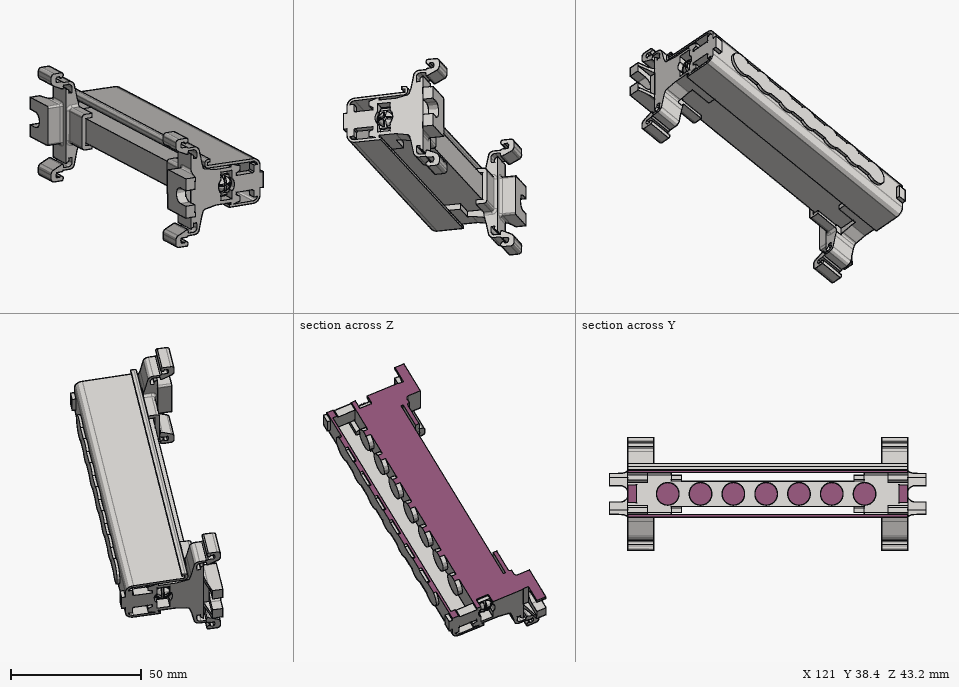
import cadquery as cq


LENGTH = 121.0
HEIGHT = 43.2
COVER_LENGTH = 107.0
COVER_END = COVER_LENGTH / 2

MARGIN = 0.1

CLAW_WIDTH = 10.0
PLATE_FRONT = 6.5
PLATE_BACK = 12.0
HOOK_TOP = HEIGHT / 2

WEB_THICKNESS = 7.5
WEB_HALF_HEIGHT = 7.1
WEB_ROOT_HALF_HEIGHT = 8.7
WEB_BACK = 28.1
RIDGE_FRONT = 24.1
RIDGE_BACK = 25.2
RIDGE_HALF_HEIGHT = 8.0

TAIL_THICKNESS = 3.4
TAIL_START = 26.5
TAIL_CORNER = 0.5
TAIL_HALF_HEIGHT = 3.4
TAB_HALF_HEIGHT = 3.1
TAB_BACK = 38.4
FLANGE_FRONT = 34.1
FLANGE_HALF_HEIGHT = 6.4

CAP_END = 36.8
CAP_FRONT = 19.4

COVER_BACK = 36.9
WALL = 1.1
COVER_TOP = 9.0
COVER_TOP_FRONT = 9.3
COVER_CORNER = 3.1
COVER_LIP_FRONT = 12.7
COVER_LOWER_FRONT = 23.4
LIP_TOP = 11.6
LIP_BACK = 15.0
LIP_BEND = 1.5

BAR_FRONT = 10.0
BAR_HEIGHT = 9.8
BAR_END = 49.6

TERMINAL_COUNT = 7
TERMINAL_ROW_LENGTH = 75.1
TERMINAL_SHIFT = 0.6
BOSS_RADIUS = 4.4
BOSS_BACK = 28.4
COLLAR_RADIUS = 5.0
COLLAR_BACK = 38.0
COLLAR_BRIDGE_HALF_HEIGHT = 3.6

HOOD_END = 32.9
HOOD_FRONT = 7.6
HOOD_HALF_HEIGHT = 7.1
HOOD_WALL = 1.7
HOOD_CORNER = 1.2
HOOD_ROOT_FILLET = 1.0

FOOT_FRONT = 0.4
FOOT_TIP_BACK = 4.5
FOOT_FLOOR = 4.4
FOOT_RECESS_HALF_HEIGHT = 6.2
FOOT_CORNER = 0.7
FOOT_INNER = 46.3
FOOT_HALF_HEIGHT = 7.9
FOOT_SLOT_WIDTH = 6.2
FOOT_SLOT_RADIUS = FOOT_SLOT_WIDTH / 2
FOOT_SLOT_END = 53.2
FOOT_ROOT_FILLET = 1.1

SCREW_Y = 22.1
SCREW_HOLE_RADIUS = 3.5
SCREW_RADIUS = 3.3
SCREW_HEAD_DEPTH = 0.7
SCREW_DOME_RADIUS = 2.8
CROSS_SPAN_Y = 4.8
CROSS_SPAN_Z = 6.3
CROSS_WIDTH = 1.0
CROSS_DEPTH = 1.9
POCKET_WIDTH = 5.0
POCKET_HALF_HEIGHT = 5.7
POCKET_DEPTH = 4.8
POCKET_BLOCK_HALF_HEIGHT = 3.5
POCKET_BLOCK_DEPTH = 2.4


def box(x_range, y_range, z_range):
    """Box spanning the given (low, high) ranges."""
    sizes = [high - low for low, high in (x_range, y_range, z_range)]
    lows = (x_range[0], y_range[0], z_range[0])
    return cq.Workplane("XY").box(*sizes, centered=False).translate(lows)


def cylinder_along_y(x, radius, y_range):
    """Cylinder centred on height 0 with its axis along Y."""
    plane = cq.Workplane("XZ", origin=(x, y_range[0], 0))
    return plane.circle(radius).extrude(y_range[0] - y_range[1])


def section(x):
    """Sketch plane across the strip; its axes are Y and Z."""
    return cq.Workplane("YZ", origin=(x, 0, 0))


def both_halves(upper):
    """Add the mirror image below the middle plane."""
    return upper.union(upper.mirror("XY"))


def make_claw_plate():
    """Plate with a sprung rail hook at the top and bottom."""
    upper = (
        section(-COVER_END)
        .moveTo(PLATE_FRONT, 0)
        .lineTo(PLATE_FRONT, 15.1)
        .lineTo(7.7, 14.2)
        .lineTo(7.7, 13.0)
        .lineTo(9.1, 13.0)
        .lineTo(9.2, 14.9)
        .threePointArc((8.7, 16.0), (7.6, 16.5))
        .lineTo(5.6, 16.5)
        .lineTo(5.2, 15.0)
        .lineTo(4.6, 15.1)
        .lineTo(1.0, 16.8)
        .threePointArc((0.2, 17.5), (0, 18.6))
        .lineTo(0, 20.3)
        .threePointArc((0.4, 21.2), (1.3, HOOK_TOP))
        .lineTo(4.7, HOOK_TOP)
        .threePointArc((5.3, 20.8), (5.1, 20.0))
        .lineTo(4.2, 19.4)
        .lineTo(3.8, 20.1)
        .lineTo(2.7, 20.1)
        .threePointArc((2.2, 19.1), (2.5, 18.0))
        .lineTo(4.7, 18.0)
        .lineTo(5.5, 17.5)
        .lineTo(8.1, 17.5)
        .threePointArc((9.4, 17.1), (10.2, 16.1))
        .lineTo(11.4, 10.5)
        .lineTo(PLATE_BACK, WEB_ROOT_HALF_HEIGHT)
        .lineTo(PLATE_BACK, 0)
        .close()
        .extrude(CLAW_WIDTH)
    )
    return both_halves(upper)


def make_web():
    """Outer end face, curving from the claw plate back to the notches at the rear."""
    upper = (
        section(-COVER_END)
        .moveTo(PLATE_BACK, 0)
        .lineTo(PLATE_BACK, WEB_ROOT_HALF_HEIGHT)
        .threePointArc((12.3, 8.2), (13.1, 8.0))
        .lineTo(17.4, WEB_HALF_HEIGHT)
        .lineTo(RIDGE_FRONT, WEB_HALF_HEIGHT)
        .lineTo(RIDGE_FRONT, RIDGE_HALF_HEIGHT)
        .lineTo(RIDGE_BACK, RIDGE_HALF_HEIGHT)
        .lineTo(26.7, 7.4)
        .lineTo(WEB_BACK, WEB_HALF_HEIGHT)
        .lineTo(WEB_BACK, 5.2)
        .lineTo(TAIL_START, 4.4)
        .lineTo(TAIL_START, 0)
        .close()
        .extrude(WEB_THICKNESS)
    )
    return both_halves(upper)


def make_tail():
    """Stem with a flange inside the cover wall and a tab through it."""
    upper = (
        section(-COVER_END)
        .moveTo(TAIL_START, 0)
        .lineTo(TAIL_START, TAIL_HALF_HEIGHT)
        .lineTo(FLANGE_FRONT - TAIL_CORNER, TAIL_HALF_HEIGHT)
        .lineTo(FLANGE_FRONT, TAIL_HALF_HEIGHT + TAIL_CORNER)
        .lineTo(FLANGE_FRONT, FLANGE_HALF_HEIGHT)
        .lineTo(COVER_BACK - WALL, FLANGE_HALF_HEIGHT)
        .lineTo(COVER_BACK - WALL, TAB_HALF_HEIGHT)
        .lineTo(TAB_BACK, TAB_HALF_HEIGHT)
        .lineTo(TAB_BACK, 0)
        .close()
        .extrude(TAIL_THICKNESS)
    )
    return both_halves(upper)


def make_inner_cap():
    """Block behind the web, with snap ridges touching the cover."""
    x_range = (-COVER_END + WEB_THICKNESS, -CAP_END)
    block = box(x_range, (CAP_FRONT, TAIL_START), (-WEB_HALF_HEIGHT, WEB_HALF_HEIGHT))
    ridge = box(x_range, (RIDGE_FRONT, RIDGE_BACK), (-RIDGE_HALF_HEIGHT, RIDGE_HALF_HEIGHT))
    return block.union(ridge)


def make_hood():
    """Hood as a solid block; its hollow is removed after the root is filleted."""
    x_range = (-COVER_END + CLAW_WIDTH, -HOOD_END)
    outer = box(x_range, (HOOD_FRONT, PLATE_BACK), (-HOOD_HALF_HEIGHT, HOOD_HALF_HEIGHT))
    return outer.edges("|X and <Y").fillet(HOOD_CORNER)


def hood_hollow():
    """Space inside the hood, open towards the bar."""
    inner_half = HOOD_HALF_HEIGHT - HOOD_WALL
    x_range = (-COVER_END + CLAW_WIDTH, -HOOD_END)
    return box(x_range, (HOOD_FRONT + HOOD_WALL, PLATE_BACK), (-inner_half, inner_half))


def make_foot():
    """Solid pad with a tapered underside; its recess and slot are removed later."""
    pad = (
        cq.Workplane("XY", origin=(0, 0, -FOOT_HALF_HEIGHT))
        .moveTo(-LENGTH / 2, FOOT_FRONT)
        .lineTo(-FOOT_INNER, FOOT_FRONT)
        .lineTo(-FOOT_INNER, PLATE_FRONT)
        .lineTo(-COVER_END, PLATE_FRONT)
        .lineTo(-LENGTH / 2, FOOT_TIP_BACK)
        .close()
        .extrude(2 * FOOT_HALF_HEIGHT)
    )
    return pad.edges("|Y and >X").fillet(FOOT_CORNER)


def foot_cutouts():
    """Recess between the tapered side ribs, and the round-ended screw slot through its floor."""
    recess = box(
        (-LENGTH / 2, -FOOT_SLOT_END),
        (FOOT_FLOOR, PLATE_FRONT),
        (-FOOT_RECESS_HALF_HEIGHT, FOOT_RECESS_HALF_HEIGHT),
    )
    slot_centre = -FOOT_SLOT_END - FOOT_SLOT_RADIUS
    slot = box(
        (-LENGTH / 2, slot_centre),
        (FOOT_FRONT, FOOT_FLOOR),
        (-FOOT_SLOT_RADIUS, FOOT_SLOT_RADIUS),
    )
    slot_end = cylinder_along_y(slot_centre, FOOT_SLOT_RADIUS, (FOOT_FRONT, FOOT_FLOOR))
    return recess.union(slot).union(slot_end)


def screw_pocket():
    """Material removed from the outer end face around the screw."""
    plane = section(-COVER_END).center(SCREW_Y, 0)
    pocket = plane.rect(POCKET_WIDTH, 2 * POCKET_HALF_HEIGHT).extrude(POCKET_DEPTH)
    block = (
        section(-COVER_END + POCKET_BLOCK_DEPTH)
        .center(SCREW_Y, 0)
        .rect(POCKET_WIDTH, 2 * POCKET_BLOCK_HALF_HEIGHT)
        .extrude(POCKET_DEPTH - POCKET_BLOCK_DEPTH)
    )
    hole = plane.circle(SCREW_HOLE_RADIUS).extrude(POCKET_BLOCK_DEPTH)
    return pocket.cut(block).union(hole)


def make_screw():
    """Domed screw head with a cross slot."""
    top = -COVER_END + SCREW_HEAD_DEPTH
    root = -COVER_END + POCKET_DEPTH
    head = section(top).center(SCREW_Y, 0).circle(SCREW_RADIUS).extrude(root - top)
    head = head.faces("<X").edges().fillet(SCREW_DOME_RADIUS)
    plane = section(top).center(SCREW_Y, 0)
    cross = plane.rect(CROSS_SPAN_Y, CROSS_WIDTH).extrude(CROSS_DEPTH)
    cross = cross.union(plane.rect(CROSS_WIDTH, CROSS_SPAN_Z).extrude(CROSS_DEPTH))
    return head.cut(cross)


def make_end():
    """Complete bracket at the -X end."""
    bracket = make_claw_plate().union(make_hood()).union(make_foot())
    inner_face = -COVER_END + CLAW_WIDTH
    hood_root = cq.selectors.BoxSelector(
        (inner_face - MARGIN, HOOD_FRONT - MARGIN, -HOOD_HALF_HEIGHT - MARGIN),
        (inner_face + MARGIN, PLATE_BACK - MARGIN, HOOD_HALF_HEIGHT + MARGIN),
    )
    bracket = bracket.edges(hood_root).fillet(HOOD_ROOT_FILLET)
    bracket = bracket.cut(hood_hollow())
    foot_root = cq.selectors.BoxSelector(
        (-COVER_END + MARGIN, PLATE_FRONT - MARGIN, -FOOT_HALF_HEIGHT - MARGIN),
        (-FOOT_INNER + MARGIN, PLATE_FRONT + MARGIN, FOOT_HALF_HEIGHT + MARGIN),
    )
    bracket = bracket.edges(foot_root).fillet(FOOT_ROOT_FILLET)
    bracket = bracket.cut(foot_cutouts())
    for piece in (make_web(), make_tail(), make_inner_cap()):
        bracket = bracket.union(piece)
    return bracket.cut(screw_pocket()).union(make_screw())


def make_cover():
    """Bent channel with a hooked lip at the upper front edge."""
    inner_back = COVER_BACK - WALL
    inner_corner = COVER_CORNER - WALL
    lip_root = COVER_LIP_FRONT + WALL
    return (
        section(-COVER_END)
        .moveTo(COVER_LOWER_FRONT, -COVER_TOP)
        .lineTo(COVER_BACK - COVER_CORNER, -COVER_TOP)
        .radiusArc((COVER_BACK, -COVER_TOP + COVER_CORNER), -COVER_CORNER)
        .lineTo(COVER_BACK, COVER_TOP - COVER_CORNER)
        .radiusArc((COVER_BACK - COVER_CORNER, COVER_TOP), -COVER_CORNER)
        .lineTo(lip_root, COVER_TOP_FRONT)
        .lineTo(lip_root, LIP_TOP - WALL)
        .lineTo(LIP_BACK, LIP_TOP - WALL)
        .lineTo(LIP_BACK, LIP_TOP)
        .lineTo(lip_root, LIP_TOP)
        .radiusArc((COVER_LIP_FRONT, LIP_TOP - WALL), -WALL)
        .lineTo(COVER_LIP_FRONT, COVER_TOP_FRONT)
        .radiusArc((COVER_LIP_FRONT + LIP_BEND, COVER_TOP_FRONT - WALL), -LIP_BEND)
        .lineTo(inner_back - inner_corner, COVER_TOP - WALL)
        .radiusArc((inner_back, COVER_TOP - COVER_CORNER), inner_corner)
        .lineTo(inner_back, -COVER_TOP + COVER_CORNER)
        .radiusArc((inner_back - inner_corner, -COVER_TOP + WALL), inner_corner)
        .lineTo(COVER_LOWER_FRONT, -COVER_TOP + WALL)
        .close()
        .extrude(COVER_LENGTH)
    )


def make_bar():
    """Plain rectangular bar running between the two ends."""
    return box(
        (-BAR_END, BAR_END),
        (BAR_FRONT, TAIL_START),
        (-BAR_HEIGHT / 2, BAR_HEIGHT / 2),
    )


def terminal_positions():
    """X positions of the terminals; the row sits slightly off centre."""
    pitch = TERMINAL_ROW_LENGTH / (TERMINAL_COUNT - 1)
    first = TERMINAL_SHIFT - TERMINAL_ROW_LENGTH / 2
    return [first + index * pitch for index in range(TERMINAL_COUNT)]


def add_terminals(body):
    """Add a boss behind the bar and a collar on the back of the cover for each terminal."""
    positions = terminal_positions()
    for x in positions:
        body = body.union(cylinder_along_y(x, BOSS_RADIUS, (BAR_FRONT, BOSS_BACK)))
        body = body.union(cylinder_along_y(x, COLLAR_RADIUS, (COVER_BACK - WALL, COLLAR_BACK)))
    bridge = box(
        (positions[0], positions[-1]),
        (COVER_BACK - WALL, COLLAR_BACK),
        (-COLLAR_BRIDGE_HALF_HEIGHT, COLLAR_BRIDGE_HALF_HEIGHT),
    )
    return body.union(bridge)


near_end = make_end()
far_end = near_end.mirror("YZ")
result = add_terminals(make_cover().union(make_bar())).union(near_end).union(far_end)